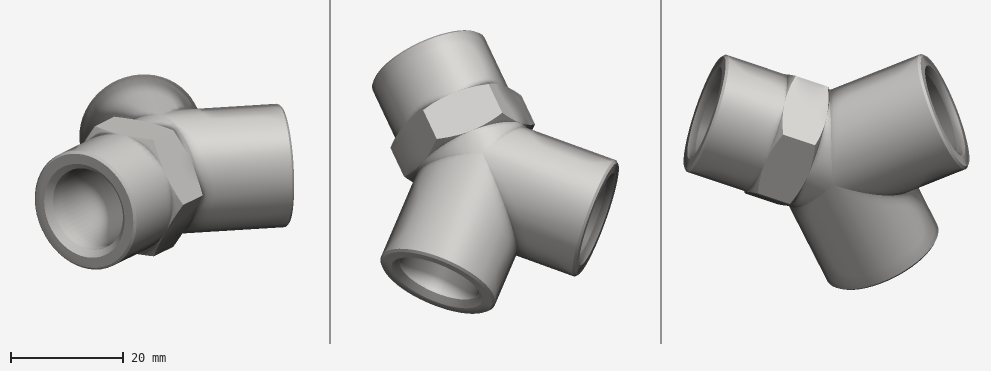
import cadquery as cq
import math

overall_length = 47.3
outer_diameter = 22.0
bore_diameter = 15.1
rim_chamfer = 0.43
bore_chamfer = 1.15

stem_length = 24.3
collar_start = 11.55
collar_length = 8.05
collar_flats = outer_diameter
collar_bevel_angle = 30.0

branch_angle = 45.0

outer_radius = outer_diameter / 2
bore_radius = bore_diameter / 2
branch_sine = math.sin(math.radians(branch_angle))
branch_cosine = math.cos(math.radians(branch_angle))

branch_reach = overall_length - stem_length
branch_length = (branch_reach - outer_radius * branch_sine) / branch_cosine + rim_chamfer


def pipe_plane(direction):
    """Plane at the junction, with its normal along a pipe axis."""
    return cq.Plane(origin=(0, 0, 0), xDir=(0, 0, 1), normal=direction)


def pipe_body(direction, length):
    """Solid pipe from the junction to its chamfered rim."""
    blank = cq.Workplane(pipe_plane(direction)).circle(outer_radius).extrude(length)
    return blank.faces(cq.selectors.DirectionMinMaxSelector(cq.Vector(direction))).chamfer(rim_chamfer)


def pipe_bore(direction, length):
    """Bore from the junction, flared at the rim."""
    half_profile = (
        cq.Workplane("XY")
        .polyline([
            (0, 0),
            (bore_radius, 0),
            (bore_radius, length - bore_chamfer),
            (bore_radius + bore_chamfer, length),
            (0, length),
        ])
        .close()
    )
    bore = half_profile.revolve(360, (0, 0, 0), (0, 1, 0))
    turn = math.degrees(math.atan2(direction[1], direction[0])) - 90
    return bore.rotate((0, 0, 0), (0, 0, 1), turn)


def hexagon_collar():
    """Hexagon with corners on X and both ends bevelled down to its flats."""
    corner_radius = collar_flats / math.sqrt(3)
    flat_radius = collar_flats / 2
    bevel_depth = (corner_radius - flat_radius) * math.tan(math.radians(collar_bevel_angle))
    end = collar_start + collar_length - stem_length
    start = collar_start - stem_length
    hexagon = (
        cq.Workplane("XZ", origin=(0, end, 0))
        .polygon(6, 2 * corner_radius)
        .extrude(collar_length)
    )
    bevel_envelope = (
        cq.Workplane("XY")
        .polyline([
            (0, start),
            (flat_radius, start),
            (corner_radius, start + bevel_depth),
            (corner_radius, end - bevel_depth),
            (flat_radius, end),
            (0, end),
        ])
        .close()
        .revolve(360, (0, 0, 0), (0, 1, 0))
    )
    return hexagon.intersect(bevel_envelope)


pipes = [
    ((0, -1, 0), stem_length),
    ((branch_sine, branch_cosine, 0), branch_length),
    ((-branch_sine, branch_cosine, 0), branch_length),
]

fitting = hexagon_collar()
for axis, pipe_length in pipes:
    fitting = fitting.union(pipe_body(axis, pipe_length))
for axis, pipe_length in pipes:
    fitting = fitting.cut(pipe_bore(axis, pipe_length))

result = fitting.translate((0, stem_length, 0))